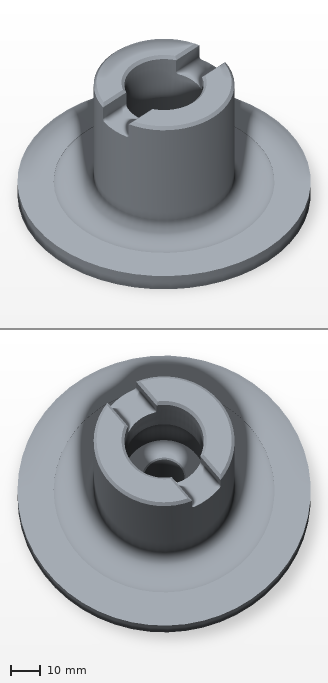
import cadquery as cq
import math


total_height = 50.0
ring_diameter = 100.0
ring_rim_thickness = 5.9

ring_inner_diameter = 75.2
lip_slope_angle = 0.5
rim_draft_angle = 1.0

flange_diameter = 97.0
flange_thickness = 5.3

barrel_diameter = 48.0
barrel_root_radius = 3.0
edge_chamfer = 1.0

counterbore_diameter = 27.0
counterbore_depth = 18.0
relief_diameter = 28.0
relief_length = 15.0
through_hole_diameter = 14.0
through_hole_chamfer = 0.5

slot_width = 12.4
slot_depth = 7.0
slot_corner_radius = 1.0

mid_height = ring_rim_thickness / 2
flange_bottom = mid_height - flange_thickness / 2
flange_top = mid_height + flange_thickness / 2
relief_top = total_height - counterbore_depth
bore_floor = relief_top - relief_length
slot_floor = total_height - slot_depth


def make_hub_blank():
    """Flange and barrel turned in one piece, with a concave fillet between them."""
    barrel_radius = barrel_diameter / 2
    root_edge_radius = barrel_radius + barrel_root_radius
    root_top = flange_top + barrel_root_radius
    arc_offset = barrel_root_radius * (1 - math.sqrt(0.5))
    return (
        cq.Workplane("XZ")
        .moveTo(0, flange_bottom)
        .lineTo(flange_diameter / 2, flange_bottom)
        .lineTo(flange_diameter / 2, flange_top)
        .lineTo(root_edge_radius, flange_top)
        .threePointArc((barrel_radius + arc_offset, flange_top + arc_offset), (barrel_radius, root_top))
        .lineTo(barrel_radius, total_height - edge_chamfer)
        .lineTo(barrel_radius - edge_chamfer, total_height)
        .lineTo(0, total_height)
        .close()
        .revolve(360, (0, 0, 0), (0, 1, 0))
    )


def make_bore():
    """Through hole, wider relief and counterbore, with chamfered hole and mouth edges."""
    hole_radius = through_hole_diameter / 2
    counterbore_radius = counterbore_diameter / 2
    relief_radius = relief_diameter / 2
    return (
        cq.Workplane("XZ")
        .moveTo(0, flange_bottom)
        .lineTo(hole_radius, flange_bottom)
        .lineTo(hole_radius, bore_floor - through_hole_chamfer)
        .lineTo(hole_radius + through_hole_chamfer, bore_floor)
        .lineTo(relief_radius, bore_floor)
        .lineTo(relief_radius, relief_top)
        .lineTo(counterbore_radius, relief_top)
        .lineTo(counterbore_radius, total_height - edge_chamfer)
        .lineTo(counterbore_radius + edge_chamfer, total_height)
        .lineTo(0, total_height)
        .close()
        .revolve(360, (0, 0, 0), (0, 1, 0))
    )


def make_slot():
    """Slot along Y with rounded floor corners and chamfered upper edges."""
    slot = (
        cq.Workplane("XY", origin=(0, 0, slot_floor))
        .rect(slot_width, ring_diameter)
        .extrude(slot_depth)
        .edges("|Y and <Z")
        .fillet(slot_corner_radius)
    )
    half_width = slot_width / 2
    edge_bevel = (
        cq.Workplane("XZ", origin=(0, ring_diameter / 2, 0))
        .moveTo(-half_width, total_height - edge_chamfer)
        .lineTo(half_width, total_height - edge_chamfer)
        .lineTo(half_width + edge_chamfer, total_height)
        .lineTo(-half_width - edge_chamfer, total_height)
        .close()
        .extrude(ring_diameter)
    )
    return slot.union(edge_bevel)


def make_ring():
    """Ring around the flange edge: gently sloped lips over both faces, rim drafted from its mid height."""
    inner_radius = ring_inner_diameter / 2
    rim_radius = ring_diameter / 2
    flange_radius = flange_diameter / 2
    rim_edge_radius = rim_radius - mid_height * math.tan(math.radians(rim_draft_angle))
    lip_rise = (rim_edge_radius - inner_radius) * math.tan(math.radians(lip_slope_angle))
    return (
        cq.Workplane("XZ")
        .moveTo(inner_radius, flange_top)
        .lineTo(inner_radius, ring_rim_thickness - lip_rise)
        .lineTo(rim_edge_radius, ring_rim_thickness)
        .lineTo(rim_radius, mid_height)
        .lineTo(rim_edge_radius, 0)
        .lineTo(inner_radius, lip_rise)
        .lineTo(inner_radius, flange_bottom)
        .lineTo(flange_radius, flange_bottom)
        .lineTo(flange_radius, flange_top)
        .close()
        .revolve(360, (0, 0, 0), (0, 1, 0))
    )


hub = make_hub_blank().cut(make_bore()).cut(make_slot())
ring = make_ring()

result = cq.Compound.makeCompound([hub.val(), ring.val()])